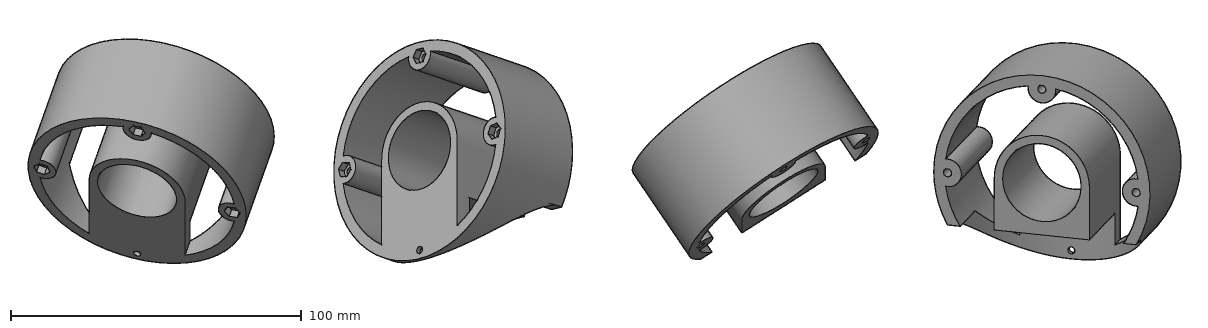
import cadquery as cq
import math

ring_radius = 39.0
ring_inner_radius = 35.0
depth = 35.4

post_radius = 17.15
bore_diameter = 28.2

boss_radius = 5.0
boss_offset = ring_radius - boss_radius
screw_diameter = 2.9
nut_across_corners = 5.8
nut_depth = 3.0
right_nut_turn = -8.0
left_nut_turn = 12.0
boss_angles_and_nut_turns = [(0, right_nut_turn), (90, 0), (180, left_nut_turn)]

web_hole_diameter = 2.5
web_hole_z = -35.9

recess_radius = 34.25
recess_ceiling_z = -19.0
web_thickness = 1.8


def front_plane(x=0.0, z=0.0):
    """Workplane on the front face whose normal points out of the part (-Y)."""
    return cq.Workplane("XZ", origin=(x, 0, z))


def cylinder(diameter, x=0.0, z=0.0):
    """Full-depth cylinder along Y."""
    return front_plane(x, z).circle(diameter / 2).extrude(-depth)


def ring():
    return cylinder(2 * ring_radius).cut(cylinder(2 * ring_inner_radius))


def post():
    """Rounded post that runs down into the ring and keeps to its outside."""
    leg = front_plane(0, -ring_radius / 2).rect(2 * post_radius, ring_radius).extrude(-depth)
    return cylinder(2 * post_radius).union(leg).intersect(cylinder(2 * ring_radius))


def boss_center(angle):
    turn = math.radians(angle)
    return boss_offset * math.cos(turn), boss_offset * math.sin(turn)


def nut_pocket(x, z, turn):
    pocket = front_plane(x, z).polygon(6, nut_across_corners).extrude(-nut_depth)
    return pocket.rotate((x, 0, z), (x, 1, z), turn)


def bottom_recess():
    """Upright cylinder that leaves only a thin web at the front."""
    center_y = web_thickness + recess_radius
    base = cq.Workplane("XY", origin=(0, center_y, -ring_radius))
    return base.circle(recess_radius).extrude(ring_radius + recess_ceiling_z)


result = ring().union(post())
for boss_angle, _ in boss_angles_and_nut_turns:
    result = result.union(cylinder(2 * boss_radius, *boss_center(boss_angle)))

result = result.cut(cylinder(bore_diameter))
result = result.cut(bottom_recess())
result = result.cut(cylinder(web_hole_diameter, 0, web_hole_z))
for boss_angle, nut_turn in boss_angles_and_nut_turns:
    boss_x, boss_z = boss_center(boss_angle)
    result = result.cut(cylinder(screw_diameter, boss_x, boss_z))
    result = result.cut(nut_pocket(boss_x, boss_z, nut_turn))